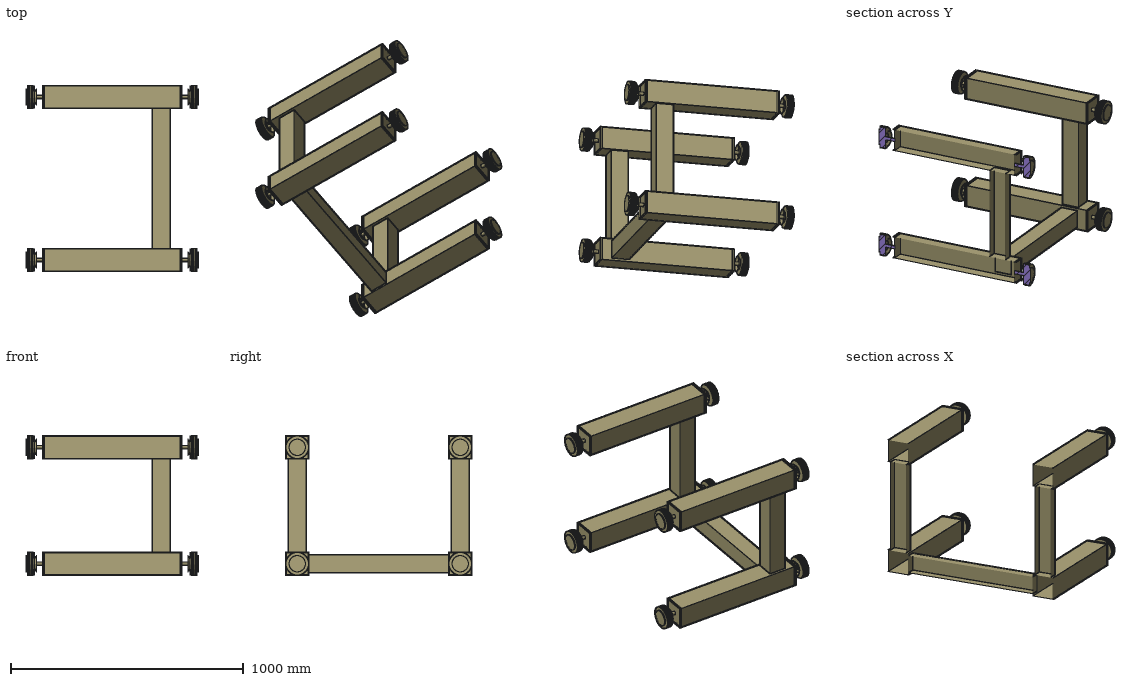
import cadquery as cq

beam_length = 600.0
beam_side = 100.0
frame_width = 800.0
frame_height = 600.0
brace_side = 80.0
brace_end_setback = 50.0
wall = 3.0

plate_recess = 5.0
plate_thickness = 5.0

overall_length = 740.0
foot_diameter = 100.0
groove_diameter = 96.0
boss_diameter = 70.0
neck_diameter = 46.0
stem_diameter = 16.0
boss_height = 5.0
rib_width = 5.0
groove_count = 3
collar_length = 10.0
collar_wall = 3.0

beam_y = (frame_width - beam_side) / 2
beam_z = (frame_height - beam_side) / 2
brace_x = beam_length / 2 - brace_end_setback - brace_side / 2
post_length = frame_height - 2 * beam_side
crossbar_length = frame_width - 2 * beam_side


def square_bar(plane, side, length):
    """Square bar centred on the origin, running along the plane's normal."""
    return cq.Workplane(plane).rect(side, side).extrude(length / 2, both=True)


def square_tube(plane, side, length):
    """Hollow square bar, open at both ends."""
    bore = square_bar(plane, side - 2 * wall, length)
    return square_bar(plane, side, length).cut(bore)


def end_plate():
    """Plate filling the tube bore, set back from the +X end of the beam."""
    plate_x = beam_length / 2 - plate_recess - plate_thickness / 2
    bore_side = beam_side - 2 * wall
    return square_bar("YZ", bore_side, plate_thickness).translate((plate_x, 0, 0))


def foot():
    """Turned foot on the +X end: stem, dished conical collar, ribbed disc and end boss."""
    x_tip = overall_length / 2
    x_disc_outer = x_tip - boss_height
    disc_width = 2 * groove_count * rib_width
    x_disc_inner = x_disc_outer - disc_width
    x_collar = x_disc_inner - collar_length
    x_plate = beam_length / 2 - plate_recess

    profile = (
        cq.Workplane("XY")
        .moveTo(x_plate, 0)
        .lineTo(x_plate, stem_diameter / 2)
        .lineTo(x_disc_inner, stem_diameter / 2)
        .lineTo(x_disc_inner, neck_diameter / 2 - collar_wall)
        .lineTo(x_collar, boss_diameter / 2 - collar_wall)
        .lineTo(x_collar, boss_diameter / 2)
        .lineTo(x_disc_inner, neck_diameter / 2)
        .lineTo(x_disc_inner, groove_diameter / 2)
    )
    for i in range(groove_count):
        rib_start = x_disc_inner + (2 * i + 1) * rib_width
        rib_end = rib_start + rib_width
        profile = (
            profile.lineTo(rib_start, groove_diameter / 2)
            .lineTo(rib_start, foot_diameter / 2)
            .lineTo(rib_end, foot_diameter / 2)
            .lineTo(rib_end, groove_diameter / 2)
        )
    profile = (
        profile.lineTo(x_disc_outer, boss_diameter / 2)
        .lineTo(x_tip, boss_diameter / 2)
        .lineTo(x_tip, 0)
        .close()
    )
    return profile.revolve(360, (0, 0, 0), (1, 0, 0))


def beam():
    """Tube along X with an end plate and a foot at each end."""
    end_parts = end_plate().union(foot())
    return (
        square_tube("YZ", beam_side, beam_length)
        .union(end_parts)
        .union(end_parts.mirror("YZ"))
    )


def build_frame():
    """Four beams joined by two upright posts and one lower crossbar."""
    frame = square_tube("XZ", brace_side, crossbar_length).translate((brace_x, 0, -beam_z))
    one_beam = beam()
    post = square_tube("XY", brace_side, post_length)
    for y in (-beam_y, beam_y):
        frame = frame.union(post.translate((brace_x, y, 0)))
        for z in (-beam_z, beam_z):
            frame = frame.union(one_beam.translate((0, y, z)))
    return frame


result = build_frame()